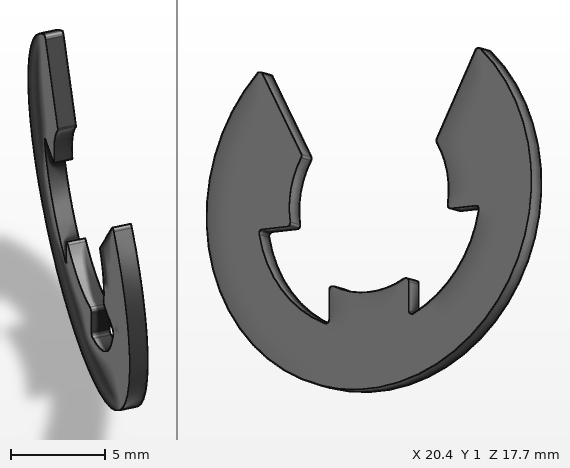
import cadquery as cq
import math

outer_radius = 10.2
bore_radius = 5.0
relief_radius = 7.0
thickness = 1.0
shoulder_z = -1.0
tab_width = 5.0
mouth_corner_angle = 33.0
mouth_flare_angle = 28.2
corner_radius = 0.2


def disc(radius):
    """Disc of the ring thickness, centred on the ring axis."""
    return cq.Workplane("XZ").circle(radius).extrude(thickness / 2, both=True)


def relief_cutter():
    """Enlarged bore below the side lugs, interrupted by the bottom lug."""
    lower_half = cq.Workplane("XY").box(
        2 * outer_radius, thickness, outer_radius, centered=(True, True, False)
    ).translate((0, 0, shoulder_z - outer_radius))
    tab = cq.Workplane("XY").box(tab_width, thickness, 2 * outer_radius)
    return disc(relief_radius).intersect(lower_half).cut(tab)


mouth_x = bore_radius * math.cos(math.radians(mouth_corner_angle))
mouth_z = bore_radius * math.sin(math.radians(mouth_corner_angle))


def mouth_cutter():
    """Flared opening from the bore out through the top of the ring."""
    top_x = mouth_x + (outer_radius - mouth_z) * math.tan(math.radians(mouth_flare_angle))
    return (
        cq.Workplane("XZ")
        .polyline([
            (-mouth_x, mouth_z),
            (mouth_x, mouth_z),
            (top_x, outer_radius),
            (-top_x, outer_radius),
        ])
        .close()
        .extrude(thickness / 2, both=True)
    )


ring = disc(outer_radius).cut(disc(bore_radius)).cut(relief_cutter()).cut(mouth_cutter())

upper_corners = cq.selectors.BoxSelector(
    (-outer_radius, -thickness, mouth_z - 0.2), (outer_radius, thickness, outer_radius)
)
lower_corners = cq.selectors.BoxSelector(
    (-relief_radius - 0.2, -thickness, -relief_radius), (relief_radius + 0.2, thickness, shoulder_z + 0.2)
)
result = ring.edges("|Y").edges(upper_corners + lower_corners).fillet(corner_radius)